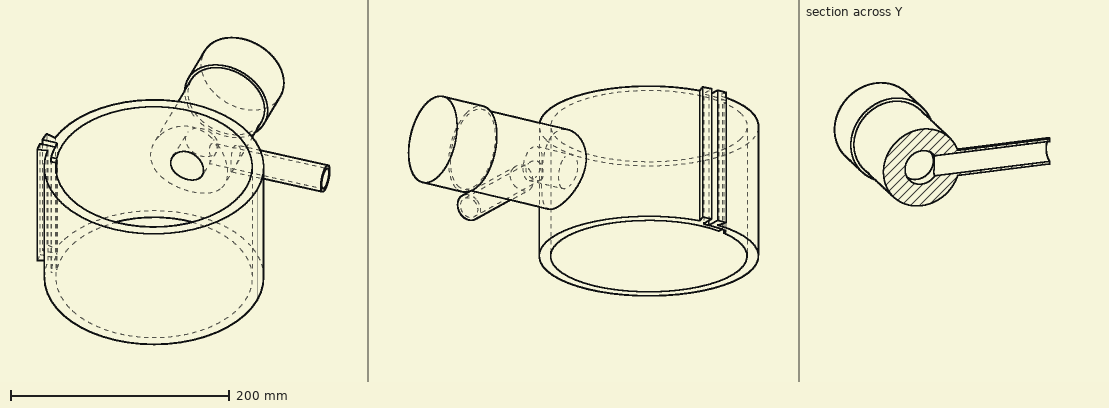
import math

import cadquery as cq

height = 128.0
mid_height = height / 2
inner_radius = 90.0
outer_radius = 100.5
lap_radius = (inner_radius + outer_radius) / 2

lug_radius = 110.0
lug_tip_half_width = 12.8
lug_root_half_width = 10.0
split_half_width = 3.2
split_corner_radius = 2.0

lap_clearance = 0.2
tongue_end_y = -19.0
pocket_end_y = -25.0
pocket_corner_radius = 3.0

neck_radius = 37.5
cap_radius = 40.5
cap_start_y = 193.0
cap_end_y = 236.7
dome_end_y = 240.83

branch_radius = 12.5
branch_y = 115.0
branch_end_x = 125.0

passage_radius = 9.5
bore_radius = 16.0
bore_end_y = branch_y + branch_radius


def disc(radius):
    """Full-height cylinder on the ring axis."""
    return cq.Workplane("XY").circle(radius).extrude(height)


def left_x(radius, y):
    """X of the point at the given Y on the -X half of a circle about the ring axis."""
    return -math.sqrt(radius**2 - y**2)


def left_slab(low_y, high_y):
    """Full-height block covering the -X half of the ring between two Y values."""
    return (
        cq.Workplane("XY")
        .moveTo(-outer_radius, low_y)
        .lineTo(0, low_y)
        .lineTo(0, high_y)
        .lineTo(-outer_radius, high_y)
        .close()
        .extrude(height)
    )


def make_lugs():
    """Dovetail block with a curved outer face, later cut in two by the split."""
    tip_x = left_x(lug_radius, lug_tip_half_width)
    root_x = left_x(outer_radius, lug_root_half_width)
    return (
        cq.Workplane("XY")
        .moveTo(-lap_radius, -lug_root_half_width)
        .lineTo(root_x, -lug_root_half_width)
        .lineTo(tip_x, -lug_tip_half_width)
        .threePointArc((-lug_radius, 0), (tip_x, lug_tip_half_width))
        .lineTo(root_x, lug_root_half_width)
        .lineTo(-lap_radius, lug_root_half_width)
        .close()
        .extrude(height)
    )


def make_split():
    """Slot between the lugs, reaching in to the tongue."""
    slot_bottom = lap_radius - lap_clearance
    slot_depth = lug_radius - slot_bottom
    return (
        cq.Workplane("XY")
        .moveTo(-slot_bottom - slot_depth / 2, 0)
        .rect(slot_depth, 2 * split_half_width)
        .extrude(height)
        .edges("|Z and >X and >Y")
        .fillet(split_corner_radius)
    )


def make_neck():
    """Neck, cap and dome turned about the Y axis at mid height."""
    return (
        cq.Workplane("XY")
        .workplane(offset=mid_height)
        .lineTo(neck_radius, 0)
        .lineTo(neck_radius, cap_start_y)
        .lineTo(cap_radius, cap_start_y)
        .lineTo(cap_radius, cap_end_y)
        .threePointArc(dome_point(), (0, dome_end_y))
        .close()
        .revolve(axisStart=(0, 0, 0), axisEnd=(0, 1, 0))
    )


def dome_point():
    """Point on the dome's spherical profile, halfway out to the cap edge."""
    rise = dome_end_y - cap_end_y
    dome_radius = (cap_radius**2 + rise**2) / (2 * rise)
    x = cap_radius / 2
    return x, dome_end_y - dome_radius + math.sqrt(dome_radius**2 - x**2)


def branch_rod(radius):
    """Round rod along the branch axis, from the neck axis out to +X."""
    return (
        cq.Workplane("YZ")
        .center(branch_y, mid_height)
        .circle(radius)
        .extrude(branch_end_x)
    )


def make_bore():
    """Round bore along +Y from the ring axis."""
    return (
        cq.Workplane("XZ")
        .center(0, mid_height)
        .circle(bore_radius)
        .extrude(-bore_end_y)
    )


def make_pocket():
    """Recess in the inner half of the wall at the -Y end, with a rounded far corner."""
    arc_y = pocket_end_y + pocket_corner_radius
    arc_x = left_x(lap_radius - pocket_corner_radius, arc_y)
    stretch = lap_radius / (lap_radius - pocket_corner_radius)
    tangent_point = (arc_x * stretch, arc_y * stretch)
    wall_y = tangent_point[1] / 2
    mid_angle = (math.atan2(-arc_y, -arc_x) + math.pi / 2) / 2
    arc_middle = (
        arc_x - pocket_corner_radius * math.cos(mid_angle),
        arc_y - pocket_corner_radius * math.sin(mid_angle),
    )
    open_x = left_x(inner_radius, pocket_end_y)
    return (
        cq.Workplane("XY")
        .moveTo(-lap_radius, 0)
        .threePointArc((left_x(lap_radius, wall_y), wall_y), tangent_point)
        .threePointArc(arc_middle, (arc_x, pocket_end_y))
        .lineTo(open_x, pocket_end_y)
        .lineTo(open_x, 0)
        .close()
        .extrude(height)
    )


def make_tongue():
    """Thin end of the ring that lies in the recess with a small clearance."""
    ring = disc(lap_radius - lap_clearance).cut(disc(inner_radius))
    return ring.intersect(left_slab(tongue_end_y, 0))


clamp = disc(outer_radius).union(make_lugs()).cut(disc(inner_radius))
clamp = clamp.cut(make_split()).cut(make_pocket()).union(make_tongue())

fittings = make_neck().union(branch_rod(branch_radius)).cut(disc(lap_radius))

result = clamp.union(fittings).cut(make_bore()).cut(branch_rod(passage_radius))